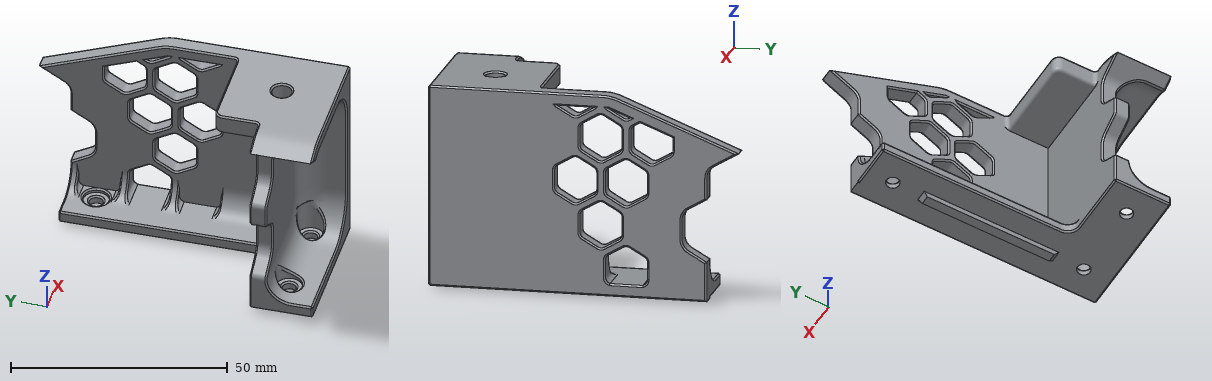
import cadquery as cq
import math

depth = 73.35
height = 48.0
tip_reach = 35.0
front_width = 34.5
rear_floor_width = 15.0
rear_length = 65.8

plate = 4.0
thin_plate = 3.0
edge_chamfer = 0.4

web_back = 15.05
web_front = web_back - plate

overlap = 2.2
fuse_y = web_back - overlap
fuse_x = -plate + overlap

hex_pitch = 12.0
hex_row_pitch = hex_pitch * math.sqrt(3) / 2
hex_flats = 10.0
hex_radius = 1.5
hex_origin_y = 34.8
hex_origin_z = 27.35

wall_cells = [(0, 2), (2, 2), (1, 1), (3, 1), (0, 0), (2, 0), (1, -1), (2, -2)]
cove_row = -2
cove_columns = (0, 2, 4)

flank_slope = math.tan(math.radians(30))
notch_half_height = 4.1
notch_radius = 3.3
ridge_radius = 1.5
side_notch_y = 59.9
front_notch_x = -28.45

bend_radius = 10.0
side_tip_z = 35.9
side_bend_y = 43.1
front_tip_z = 45.85
front_bend_x = -30.0

pocket_corner_radius = 10.0
cove_radius = 6.0

tab_thickness = 5.0
tab_width = 25.9
tab_back = 25.8
tab_outer_radius = 2.0
tab_inner_radius = 1.0
tab_corner_run = 1.55
tab_lower_radius = 0.95
floor_inner_radius = 3.0

screw_diameter = 3.3
screw_head_diameter = 6.2
screw_head_seat = 2.0
screw_head_top = 9.9
screw_line = 7.55
front_screws = [(-screw_line, screw_line), (-27.0, screw_line)]
rear_screw = (-screw_line, 58.75)
top_hole_diameter = 4.7
top_hole_depth = 4.0
top_hole_x = -13.0
top_hole_y = 13.0

key_width = 3.0
key_side_inset = 0.4
key_height = 1.0
key_start = 15.1
key_length = 36.1


def rounded_outline(plane, corners):
    """Closed outline through (u, v, radius) corners; a radius of 0 keeps the corner sharp."""
    outline = None
    count = len(corners)
    for i, (u, v, radius) in enumerate(corners):
        corner = cq.Vector(u, v)
        before = cq.Vector(*corners[i - 1][:2]) - corner
        after = cq.Vector(*corners[(i + 1) % count][:2]) - corner
        half_angle = before.getAngle(after) / 2
        setback = radius / math.tan(half_angle)
        start = corner + before.normalized() * setback
        end = corner + after.normalized() * setback
        if outline is None:
            outline = plane.moveTo(start.x, start.y)
        else:
            outline = outline.lineTo(start.x, start.y)
        if radius:
            bisector = (before.normalized() + after.normalized()).normalized()
            middle = corner + bisector * (radius / math.sin(half_angle) - radius)
            outline = outline.threePointArc((middle.x, middle.y), (end.x, end.y))
    return outline.close()


def hex_center(column, row):
    """Centre (Y, Z) of a pattern cell."""
    return hex_origin_y + column * hex_pitch / 2, hex_origin_z + row * hex_row_pitch


def hex_prism(column, row, x_start, length):
    """Rounded hexagon along X, standing on a corner."""
    y, z = hex_center(column, row)
    return (
        cq.Workplane("YZ", origin=(x_start, y, z))
        .transformed(rotate=(0, 0, 30))
        .polygon(6, hex_flats / math.cos(math.radians(30)))
        .extrude(length)
        .edges("|X")
        .fillet(hex_radius)
    )


def cut_screw_seat(body, x, y):
    """Screw hole with a seat and clearance for the head, rims chamfered."""
    head_radius = screw_head_diameter / 2
    seat = cq.Workplane("XY", origin=(x, y, screw_head_seat))
    clearance = seat.circle(head_radius).extrude(screw_head_top - screw_head_seat)
    hole = cq.Workplane("XY", origin=(x, y, 0)).circle(screw_diameter / 2).extrude(thin_plate)
    rim = cq.selectors.NearestToPointSelector((x, y - head_radius, thin_plate + edge_chamfer))
    body = body.cut(clearance)
    body = body.edges(rim).chamfer(edge_chamfer).cut(hole)
    hole_rim = cq.selectors.NearestToPointSelector((x, y, screw_head_seat))
    return body.edges("%CIRCLE").edges(hole_rim).chamfer(edge_chamfer)


def make_side_wall():
    """Right-hand plate with a notched rear edge and a hexagon pattern."""
    lower_row = hex_origin_z - hex_row_pitch
    rise = (rear_length - side_notch_y) * flank_slope
    corners = [
        (fuse_y, 0, 0),
        (rear_length, 0, 0),
        (rear_length, lower_row - notch_half_height - rise, 0),
        (side_notch_y, lower_row - notch_half_height, notch_radius),
        (side_notch_y, lower_row + notch_half_height, notch_radius),
        (rear_length, lower_row + notch_half_height + rise, 0),
        (rear_length, side_tip_z - (depth - rear_length) * flank_slope, notch_radius),
        (depth, side_tip_z, 0),
        (side_bend_y, height, bend_radius),
        (fuse_y, height, 0),
    ]
    wall = rounded_outline(cq.Workplane("YZ", origin=(-plate, 0, 0)), corners).extrude(plate)

    top_slope = math.atan2(height - side_tip_z, depth - side_bend_y)
    rim_z = height - thin_plate
    rim_bend_y = side_bend_y - thin_plate * math.tan(top_slope / 2)
    rim_drop = (depth - rim_bend_y) * math.tan(top_slope)
    window_corners = [
        (fuse_y, thin_plate, 0),
        (depth, thin_plate, 0),
        (depth, rim_z - rim_drop, 0),
        (rim_bend_y, rim_z, 0),
        (fuse_y, rim_z, 0),
    ]
    window = rounded_outline(cq.Workplane("YZ", origin=(-plate, 0, 0)), window_corners).extrude(plate)
    for column, row in wall_cells:
        wall = wall.cut(hex_prism(column, row, -plate, plate).intersect(window))
    return wall.faces("<X or >X").chamfer(edge_chamfer)


def make_pocket():
    """Pocket open to the front and the left, coved where it meets the web."""
    top_slope = (height - front_tip_z) / (front_bend_x + tip_reach)
    open_x = -2 * front_width
    ceiling = height - thin_plate
    bend_x = front_bend_x + thin_plate * math.tan(math.atan(top_slope) / 2)
    corners = [
        (-thin_plate, thin_plate, pocket_corner_radius),
        (-thin_plate, ceiling, pocket_corner_radius),
        (bend_x, ceiling, bend_radius - thin_plate),
        (open_x, ceiling - (bend_x - open_x) * top_slope, 0),
        (open_x, thin_plate, 0),
    ]
    pocket = rounded_outline(cq.Workplane("XZ"), corners).extrude(-web_front)
    return pocket.faces(">Y").edges("not <X").fillet(cove_radius)


def make_front_block():
    """Frame around the pocket, backed by the notched web."""
    upper_row = hex_origin_z + hex_row_pitch
    lower_row = hex_origin_z - hex_row_pitch
    rise = (front_width + front_notch_x) * flank_slope
    corners = [
        (0, 0, 0),
        (-front_width, 0, 0),
        (-front_width, lower_row - notch_half_height - rise, ridge_radius),
        (front_notch_x, lower_row - notch_half_height, notch_radius),
        (front_notch_x, lower_row + notch_half_height, notch_radius),
        (-front_width, lower_row + notch_half_height + rise, ridge_radius),
        (-front_width, upper_row - notch_half_height - rise, ridge_radius),
        (front_notch_x, upper_row - notch_half_height, notch_radius),
        (front_notch_x, front_tip_z - (tip_reach + front_notch_x) * flank_slope, notch_radius),
        (-tip_reach, front_tip_z, 0),
        (front_bend_x, height, bend_radius),
        (0, height, 0),
    ]
    block = rounded_outline(cq.Workplane("XZ"), corners).extrude(-web_back)
    block = block.cut(make_pocket())
    web_notch_edge = block.edges(cq.selectors.NearestToPointSelector((front_notch_x, web_front, lower_row)))
    block = block.faces("<Y or >Y or >X or <Z").edges().add(web_notch_edge).chamfer(edge_chamfer)

    for x, y in front_screws:
        block = cut_screw_seat(block, x, y)
    return block


def make_rear_floor():
    """Narrow floor behind the web, widened by a round into the web."""
    end_x = -rear_floor_width - 2 * floor_inner_radius
    corners = [
        (fuse_x, fuse_y, 0),
        (fuse_x, rear_length, 0),
        (-rear_floor_width, rear_length, 0),
        (-rear_floor_width, web_back, floor_inner_radius),
        (end_x, web_back, 0),
        (end_x, fuse_y, 0),
    ]
    floor = rounded_outline(cq.Workplane("XY"), corners).extrude(thin_plate)
    floor = floor.edges("(not |Z) or >Y").chamfer(edge_chamfer)
    return cut_screw_seat(floor, *rear_screw)


def make_rear_cove():
    """Cove between rear floor and side wall, cut away in front of the bottom row of hexagons."""
    wall_x = -plate
    toe_x = wall_x - cove_radius
    top_z = thin_plate + cove_radius
    reach = cove_radius * (1 - math.sqrt(0.5))
    cove = (
        cq.Workplane("XZ", origin=(0, fuse_y, 0))
        .moveTo(toe_x, thin_plate)
        .threePointArc((wall_x - reach, thin_plate + reach), (wall_x, top_z))
        .lineTo(fuse_x, top_z)
        .lineTo(fuse_x, thin_plate - overlap)
        .lineTo(toe_x, thin_plate - overlap)
        .close()
        .extrude(fuse_y - rear_length)
    )
    for column in cove_columns:
        y, z = hex_center(column, cove_row)
        opening = hex_prism(column, cove_row, toe_x, cove_radius + overlap)
        above = cq.Workplane("XY", origin=(toe_x, y - hex_flats / 2, z)).box(
            fuse_x - toe_x, hex_flats, top_z - z, centered=False
        )
        cove = cove.cut(opening.union(above))

    round_faces = cove.faces("%CYLINDER").vals()
    surface = [face for face in round_faces if face.BoundingBox().zmax > top_z - edge_chamfer]
    curves = [edge for face in surface for edge in face.Edges() if edge.geomType() != "LINE"]
    cove = cove.newObject(curves).chamfer(edge_chamfer)

    x, y = rear_screw
    seat_room = (
        cq.Workplane("XY", origin=(x, y, 0))
        .circle(screw_head_diameter / 2 + edge_chamfer)
        .extrude(thin_plate)
    )
    return cove.cut(seat_room)


def make_top_tab():
    """Top plate reaching back from the web."""
    corners = [
        (fuse_x, fuse_y, 0),
        (fuse_x, tab_back + tab_corner_run, 0),
        (-plate, tab_back + tab_corner_run, 0),
        (-plate, tab_back, tab_inner_radius),
        (-tab_width, tab_back, tab_outer_radius),
        (-tab_width, web_back, tab_inner_radius),
        (-tab_width - tab_corner_run, web_back, 0),
        (-tab_width - tab_corner_run, fuse_y, 0),
    ]
    tab = rounded_outline(cq.Workplane("XY", origin=(0, 0, height - tab_thickness)), corners)
    tab = tab.extrude(tab_thickness)
    return tab.faces(">Z").chamfer(edge_chamfer).faces("<Z").edges().fillet(tab_lower_radius)


def make_bracket():
    """All the bracket pieces fused into one, with a blind hole in the top."""
    bracket = make_front_block()
    for piece in (make_side_wall(), make_rear_floor(), make_rear_cove(), make_top_tab()):
        bracket = bracket.union(piece)
    top_hole = (
        cq.Workplane("XY", origin=(top_hole_x, top_hole_y, height - top_hole_depth))
        .circle(top_hole_diameter / 2)
        .extrude(top_hole_depth)
    )
    bracket = bracket.cut(top_hole)
    rim = cq.selectors.NearestToPointSelector((top_hole_x, top_hole_y, height))
    return bracket.edges("%CIRCLE").edges(rim).chamfer(edge_chamfer)


def make_key():
    """Tapered bar under the floor, in line with the screw holes of the side wall."""
    return (
        cq.Workplane("XY")
        .center(-screw_line, key_start + key_length / 2)
        .rect(key_width, key_length)
        .workplane(offset=-key_height)
        .rect(key_width - 2 * key_side_inset, key_length - 2 * key_height)
        .loft(ruled=True)
    )


bracket = make_bracket()
key = make_key()
result = cq.Compound.makeCompound([bracket.solids().val(), key.val()])